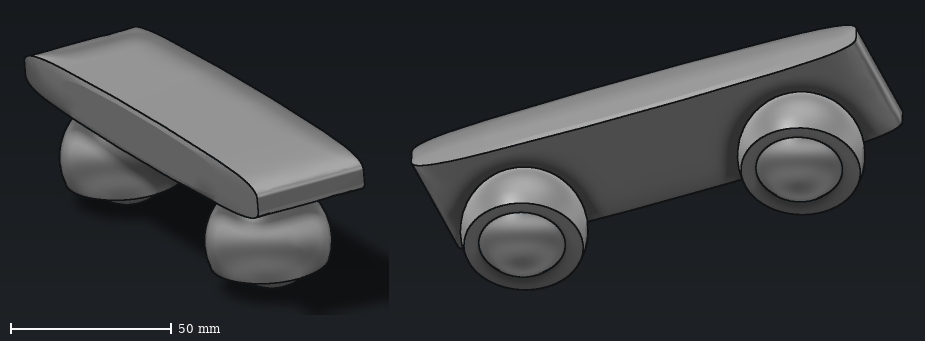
import cadquery as cq

length = 150.0
half_length = length / 2
side_length = 38.1
cap_depth = 0.5
crown_half_span = length / 3
middle_half_height = 8.5
shoulder_half_height = 7.6
tip_half_height = 2.2
shoulder_pull = 17.5
tip_pull = 3.2
cap_length_ratio = 2 / 3
cap_height_ratio = 0.82
tilt = 4.9

cup_radius = 20.0
ball_radius = 15.3
rim_drop = 7.2
ball_shift = 1.2
cup_y = -0.3
cup_places = [(-49.5, -26.7), (44.0, -26.0)]


def deck_outline(plane_y, length_ratio, height_ratio):
    """Closed deck outline in a plane of constant Y, scaled about the centre."""
    tip_x = half_length * length_ratio
    shoulder_x = crown_half_span * length_ratio
    middle_z = middle_half_height * height_ratio
    shoulder_z = shoulder_half_height * height_ratio
    tip_z = tip_half_height * height_ratio
    slope = 2 * (middle_z - shoulder_z) / shoulder_x
    reach_x = shoulder_x + shoulder_pull * length_ratio
    reach_z = shoulder_z - slope * shoulder_pull * length_ratio
    bend_z = tip_z + tip_pull * height_ratio
    end_curve = [(shoulder_x, shoulder_z), (reach_x, reach_z), (tip_x, bend_z), (tip_x, tip_z)]
    lower_right = [(x, -z) for x, z in reversed(end_curve)]
    lower_left = [(-x, -z) for x, z in end_curve]
    upper_left = [(-x, z) for x, z in reversed(end_curve)]
    return (
        cq.Workplane("XZ", origin=(0, plane_y, 0))
        .moveTo(-shoulder_x, shoulder_z)
        .threePointArc((0, middle_z), (shoulder_x, shoulder_z))
        .bezier(end_curve)
        .lineTo(tip_x, -tip_z)
        .bezier(lower_right)
        .threePointArc((0, -middle_z), (-shoulder_x, -shoulder_z))
        .bezier(lower_left)
        .lineTo(-tip_x, tip_z)
        .bezier(upper_left)
        .close()
    )


def make_cap(side):
    """Shallow sloping cap from the full outline to a smaller flat face."""
    base_y = side * side_length / 2
    base = deck_outline(base_y, 1, 1).wires().val()
    face = deck_outline(base_y + side * cap_depth, cap_length_ratio, cap_height_ratio).wires().val()
    return cq.Workplane(cq.Solid.makeLoft([base, face], True))


def make_deck():
    bar = deck_outline(side_length / 2, 1, 1).extrude(side_length)
    return bar.union(make_cap(1)).union(make_cap(-1))


def make_cup(x, z):
    """Sphere cut flat below its centre to leave an open rim."""
    size = 2 * cup_radius
    keep = cq.Workplane().box(size, size, size, centered=(True, True, False))
    dome = cq.Workplane().sphere(cup_radius).intersect(keep.translate((0, 0, -rim_drop)))
    return dome.translate((x, cup_y, z))


def make_ball(x, z):
    return cq.Workplane().sphere(ball_radius).translate((x, cup_y + ball_shift, z))


def lean(body):
    return body.rotate((0, 0, 0), (1, 0, 0), tilt)


balls = [make_ball(x, z) for x, z in cup_places]

carriage = make_deck()
for x, z in cup_places:
    carriage = carriage.union(make_cup(x, z))
for ball in balls:
    carriage = carriage.cut(ball)

result = cq.Compound.makeCompound(
    [lean(carriage).val()] + [lean(ball).val() for ball in balls]
)